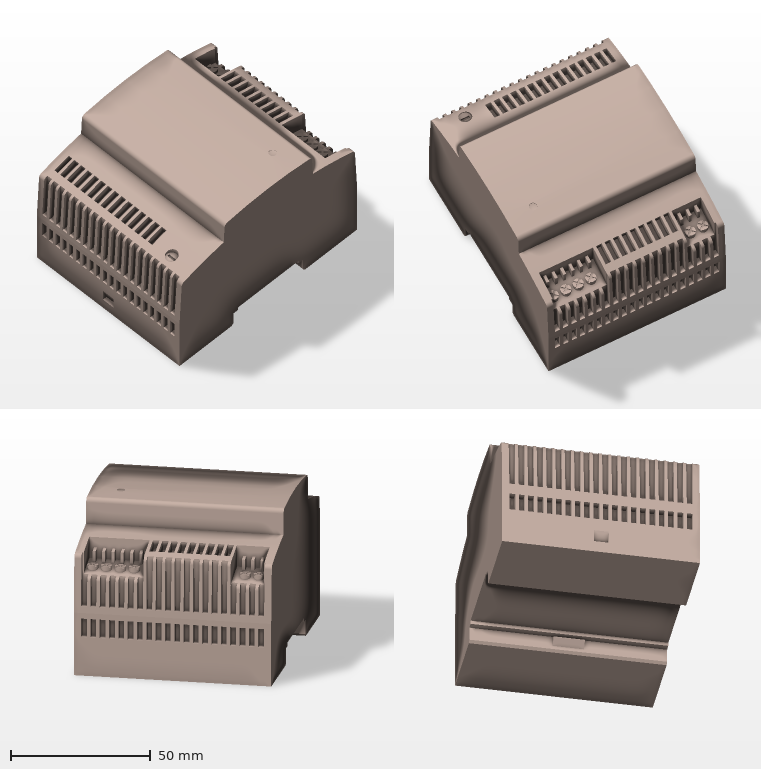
import cadquery as cq
import math

WIDTH = 72.0
DEPTH = 90.0
HEIGHT = 60.92
HALF_WIDTH = WIDTH / 2
HALF_DEPTH = DEPTH / 2

WALL_TOP_HALF = 43.85
SHOULDER_RADIUS = 138.0
SHOULDER_APEX = 51.8
CAP_BASE_HALF = 22.7
CAP_BASE_HEIGHT = 48.0
CAP_TOP_HALF = 22.1
CAP_RADIUS = 155.0
CORNER_FILLET = 1.8

JOINT_EDGE_HEIGHT = 23.4
JOINT_APEX = 32.4

CHANNEL_HALF = 17.7
CHANNEL_HEIGHT = 6.2
CHANNEL_CHAMFER = 0.9
RECESS_HALF = 15.3
RECESS_HEIGHT = 7.6

SLOT_COUNT = 20
PITCH = 3.4
SLOT_TOP = 46.0
SLOT_TOP_WIDTH = 2.3
SLOT_BOTTOM_WIDTH = 2.1
SLOT_BOTTOM = 25.8
SLOT_FLOOR_HALF = 42.25
WINDOW_BOTTOM = 14.4
WINDOW_TOP = 21.3
VENT_WIDTH = 2.3
VENT_INNER = 31.95
VENT_OUTER = 39.2
VENT_DEPTH = 3.8
FRONT_VENTS = range(0, 15)
REAR_VENTS = range(4, 13)

SIDE_WALL = 3.1
POCKET_DROP = 8.0
LEFT_POCKET = (-HALF_WIDTH + SIDE_WALL, -20.95)
RIGHT_POCKET = (10.9, HALF_WIDTH - SIDE_WALL)
RIB_END = 34.6
RIB_DROP = VENT_DEPTH

SCREW_DIAMETER = 4.0
SCREW_PITCH = 5.08
SCREW_Y = 38.2
SCREW_RISE = 1.4
CROSS_WIDTH = 0.8
CROSS_DEPTH = 0.6
LEFT_SCREW_X = -30.3
LEFT_SCREWS = 2
RIGHT_SCREW_X = 15.2
RIGHT_SCREWS = 4

ADJUSTER_X = 25.1
ADJUSTER_Y = -38.0
ADJUSTER_DIAMETER = 5.0
ADJUSTER_FLOOR = 45.2
ADJUSTER_SLOT_LENGTH = 3.5
ADJUSTER_SLOT_WIDTH = 1.0
ADJUSTER_SLOT_DEPTH = 0.8
LAMP_X = ADJUSTER_X
LAMP_Y = 13.1
LAMP_DIAMETER = 3.0
LAMP_DEPTH = 0.2

CLIP_HALF = 7.5
CLIP_TOP = 6.15
CLIP_SHOULDER = 2.7
CLIP_FOOT_HALF = 5.7
CLIP_BOTTOM = 1.35
CLIP_NOTCH_HALF = 4.3
CLIP_NOTCH_BOTTOM = 4.5
CLIP_THICKNESS = 1.5
PULL_HALF = 2.65
PULL_TOP = 9.3
PULL_DEPTH = 1.8
HOOK_TIP_HALF = 15.6
HOOK_TOP = 5.2
HOOK_NOSE = 4.7
HOOK_NOSE_INSET = 0.3
HOOK_BOTTOM = 2.3


def dome_height(y, apex, radius):
    """Height at y of an arc in the YZ plane with its apex at y = 0."""
    return apex - radius + math.sqrt(radius**2 - y**2)


def wall_half(z):
    """Half depth of the drafted front and rear walls at height z."""
    rise = dome_height(WALL_TOP_HALF, SHOULDER_APEX, SHOULDER_RADIUS) - JOINT_EDGE_HEIGHT
    return HALF_DEPTH - (HALF_DEPTH - WALL_TOP_HALF) * (z - JOINT_EDGE_HEIGHT) / rise


def slot_x(index):
    """Middle of a slot along X, counted from the left."""
    return (index - (SLOT_COUNT - 1) / 2) * PITCH


def block(x_range, y_range, z_range):
    """Box between the given limits along X, Y and Z."""
    low, high = zip(x_range, y_range, z_range)
    size = [b - a for a, b in zip(low, high)]
    return cq.Workplane("XY").box(*size, centered=False).translate(low)


def across(outline):
    """Extrude an outline drawn in the YZ plane over the whole width."""
    return outline.close().extrude(HALF_WIDTH, both=True)


def round_outer_corners(body, half, z):
    """Fillet the two edges along X that lie near (+half, z) and (-half, z)."""
    reach = 0.3
    for y in (-half, half):
        corner = cq.selectors.BoxSelector(
            (-WIDTH, y - reach, z - reach), (WIDTH, y + reach, z + reach)
        )
        body = body.edges("|X").edges(corner).fillet(CORNER_FILLET)
    return body


def domed_body(base_half, base_z, top_half, apex, radius):
    """Full-width body with drafted sides from base_z up to a domed top with rounded corners."""
    top_z = dome_height(top_half, apex, radius)
    outline = (
        cq.Workplane("YZ")
        .moveTo(-base_half, base_z)
        .lineTo(base_half, base_z)
        .lineTo(top_half, top_z)
        .threePointArc((0, apex), (-top_half, top_z))
    )
    return round_outer_corners(across(outline), top_half, top_z)


def shoulder_body(drop):
    """Body from the joint edge up to the shoulder dome lowered by drop."""
    apex = SHOULDER_APEX - drop
    half = wall_half(dome_height(WALL_TOP_HALF, apex, SHOULDER_RADIUS))
    return domed_body(HALF_DEPTH, JOINT_EDGE_HEIGHT, half, apex, SHOULDER_RADIUS)


def rail_channel():
    outline = (
        cq.Workplane("YZ")
        .moveTo(-CHANNEL_HALF - CHANNEL_CHAMFER, 0)
        .lineTo(-CHANNEL_HALF, CHANNEL_CHAMFER)
        .lineTo(-CHANNEL_HALF, CHANNEL_HEIGHT)
        .lineTo(-RECESS_HALF, CHANNEL_HEIGHT)
        .lineTo(-RECESS_HALF, RECESS_HEIGHT)
        .lineTo(RECESS_HALF, RECESS_HEIGHT)
        .lineTo(RECESS_HALF, CHANNEL_HEIGHT)
        .lineTo(CHANNEL_HALF, CHANNEL_HEIGHT)
        .lineTo(CHANNEL_HALF, CHANNEL_CHAMFER)
        .lineTo(CHANNEL_HALF + CHANNEL_CHAMFER, 0)
    )
    return across(outline)


def housing():
    """Base and cover, joined along the curved joint whose line stays on the side faces."""
    full_width = (-HALF_WIDTH, HALF_WIDTH)
    full_depth = (-HALF_DEPTH, HALF_DEPTH)
    lower = block(full_width, full_depth, (0, JOINT_EDGE_HEIGHT))
    cap = domed_body(CAP_BASE_HALF, CAP_BASE_HEIGHT, CAP_TOP_HALF, HEIGHT, CAP_RADIUS)
    whole = lower.union(shoulder_body(0)).union(cap).cut(rail_channel())
    below_joint = across(
        cq.Workplane("YZ")
        .moveTo(-HALF_DEPTH, 0)
        .lineTo(HALF_DEPTH, 0)
        .lineTo(HALF_DEPTH, JOINT_EDGE_HEIGHT)
        .threePointArc((0, JOINT_APEX), (-HALF_DEPTH, JOINT_EDGE_HEIGHT))
    )
    base = whole.intersect(below_joint)
    cover = whole.cut(below_joint)
    return base.union(cover, clean=False)


def terminal_pocket(body, x_range):
    """Open a rear shoulder pocket holding a lowered terminal block and ribs between vents."""
    opening = block(x_range, (VENT_INNER, HALF_DEPTH), (JOINT_EDGE_HEIGHT, HEIGHT))
    body = body.cut(opening.cut(shoulder_body(POCKET_DROP)), clean=False)
    rib_width = PITCH - VENT_WIDTH
    for index in range(SLOT_COUNT - 1):
        x = slot_x(index) + PITCH / 2
        if x_range[0] < x - rib_width and x + rib_width < x_range[1]:
            rib = block(
                (x - rib_width / 2, x + rib_width / 2),
                (VENT_INNER, RIB_END),
                (JOINT_EDGE_HEIGHT, HEIGHT),
            )
            body = body.union(rib.intersect(shoulder_body(RIB_DROP)), clean=False)
    return body


def wall_openings(side):
    """Tapered open slots and plain windows in one wall; side is -1 for front, 1 for rear."""
    floor_plane = cq.Workplane("XZ", origin=(0, side * SLOT_FLOOR_HALF, 0))
    outward = -side * (HALF_DEPTH - SLOT_FLOOR_HALF)
    half_low = SLOT_BOTTOM_WIDTH / 2
    half_high = SLOT_TOP_WIDTH / 2
    cutters = []
    for index in range(SLOT_COUNT):
        x = slot_x(index)
        slot_outline = [
            (x - half_low, SLOT_BOTTOM),
            (x + half_low, SLOT_BOTTOM),
            (x + half_high, SLOT_TOP),
            (x - half_high, SLOT_TOP),
        ]
        cutters.append(floor_plane.polyline(slot_outline).close().extrude(outward))
        window = floor_plane.center(x, (WINDOW_BOTTOM + WINDOW_TOP) / 2)
        cutters.append(window.rect(SLOT_BOTTOM_WIDTH, WINDOW_TOP - WINDOW_BOTTOM).extrude(outward))
    return cutters


def shoulder_vents(side, indices):
    """Blind vents sunk square to the shoulder; the end ones stop at the side wall."""
    inner_z = dome_height(VENT_INNER, SHOULDER_APEX, SHOULDER_RADIUS)
    outer_z = dome_height(VENT_OUTER, SHOULDER_APEX, SHOULDER_RADIUS)
    run = VENT_OUTER - VENT_INNER
    length = math.hypot(run, inner_z - outer_z)
    slope = math.degrees(math.atan2(inner_z - outer_z, run))
    mid_y = side * (VENT_INNER + VENT_OUTER) / 2
    mid_z = (inner_z + outer_z) / 2
    clearance = 1.0
    cutters = []
    for index in indices:
        left = max(slot_x(index) - VENT_WIDTH / 2, SIDE_WALL - HALF_WIDTH)
        right = slot_x(index) + VENT_WIDTH / 2
        vent = block((left, right), (-length / 2, length / 2), (-VENT_DEPTH, clearance))
        cutters.append(vent.rotate((0, 0, 0), (1, 0, 0), -side * slope).translate((0, mid_y, mid_z)))
    return cutters


def terminal_screws(first_x, count):
    """Cross-slotted screw heads, half sunk in a terminal block and half standing on it."""
    block_z = dome_height(SCREW_Y, SHOULDER_APEX - POCKET_DROP, SHOULDER_RADIUS)
    top = block_z + SCREW_RISE
    places = [(first_x + i * SCREW_PITCH, SCREW_Y) for i in range(count)]
    heads = (
        cq.Workplane("XY", origin=(0, 0, top))
        .pushPoints(places)
        .circle(SCREW_DIAMETER / 2)
        .extrude(-2 * SCREW_RISE)
    )
    for angle in (45, -45):
        for x, y in places:
            groove = cq.Workplane("XY").box(SCREW_DIAMETER, CROSS_WIDTH, 2 * CROSS_DEPTH)
            heads = heads.cut(groove.rotate((0, 0, 0), (0, 0, 1), angle).translate((x, y, top)))
    return heads


def adjuster_hole():
    """Round hole with a screwdriver slot in its flat floor."""
    floor = cq.Workplane("XY", origin=(ADJUSTER_X, ADJUSTER_Y, ADJUSTER_FLOOR))
    hole = floor.circle(ADJUSTER_DIAMETER / 2).extrude(SHOULDER_APEX - ADJUSTER_FLOOR)
    return hole.union(floor.rect(ADJUSTER_SLOT_LENGTH, ADJUSTER_SLOT_WIDTH).extrude(-ADJUSTER_SLOT_DEPTH))


def lamp_recess():
    surface_z = dome_height(LAMP_Y, HEIGHT, CAP_RADIUS)
    floor = cq.Workplane("XY", origin=(LAMP_X, LAMP_Y, surface_z - LAMP_DEPTH))
    return floor.circle(LAMP_DIAMETER / 2).extrude(HEIGHT - surface_z + LAMP_DEPTH)


def clip_plate():
    """Face plate of the rail clip, filling its seat flush with the front face."""
    right_half = [
        (CLIP_FOOT_HALF, CLIP_BOTTOM),
        (CLIP_FOOT_HALF, CLIP_SHOULDER),
        (CLIP_HALF, CLIP_SHOULDER),
        (CLIP_HALF, CLIP_TOP),
        (CLIP_NOTCH_HALF, CLIP_TOP),
        (CLIP_NOTCH_HALF, CLIP_NOTCH_BOTTOM),
    ]
    left_half = [(-x, z) for x, z in reversed(right_half)]
    front = cq.Workplane("XZ", origin=(0, -HALF_DEPTH, 0))
    return front.polyline(right_half + left_half).close().extrude(-CLIP_THICKNESS)


def pull_recess():
    """Wedge-shaped recess above the clip, deepest at its bottom."""
    return (
        cq.Workplane("YZ")
        .moveTo(-HALF_DEPTH, CLIP_NOTCH_BOTTOM)
        .lineTo(-HALF_DEPTH + PULL_DEPTH, CLIP_NOTCH_BOTTOM)
        .lineTo(-HALF_DEPTH, PULL_TOP)
        .close()
        .extrude(PULL_HALF, both=True)
    )


def rail_hook(side):
    return (
        cq.Workplane("YZ")
        .moveTo(side * CHANNEL_HALF, HOOK_BOTTOM)
        .lineTo(side * HOOK_TIP_HALF, HOOK_NOSE)
        .lineTo(side * (HOOK_TIP_HALF + HOOK_NOSE_INSET), HOOK_TOP)
        .lineTo(side * CHANNEL_HALF, HOOK_TOP)
        .close()
        .extrude(CLIP_FOOT_HALF, both=True)
    )


result = housing()
for pocket in (LEFT_POCKET, RIGHT_POCKET):
    result = terminal_pocket(result, pocket)
openings = (
    wall_openings(-1) + wall_openings(1) + shoulder_vents(-1, FRONT_VENTS) + shoulder_vents(1, REAR_VENTS)
)
for cutter in openings + [adjuster_hole(), lamp_recess(), pull_recess()]:
    result = result.cut(cutter, clean=False)
result = result.union(terminal_screws(LEFT_SCREW_X, LEFT_SCREWS), clean=False)
result = result.union(terminal_screws(RIGHT_SCREW_X, RIGHT_SCREWS), clean=False)
result = result.cut(clip_plate(), clean=False).union(clip_plate(), clean=False)
for hook_side in (-1, 1):
    result = result.union(rail_hook(hook_side), clean=False)